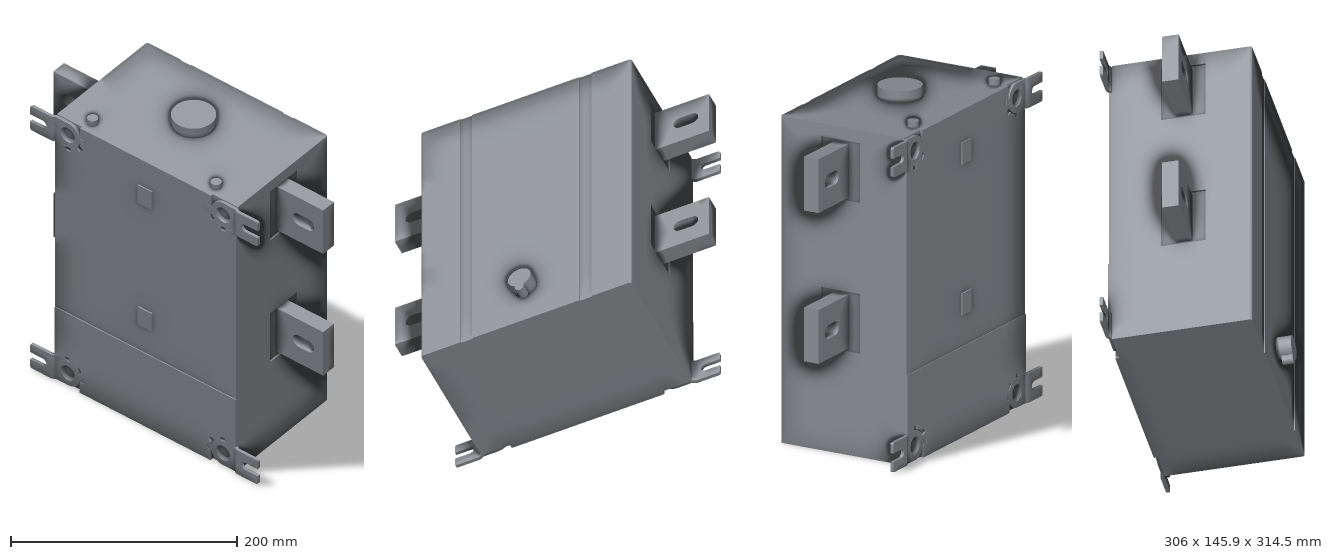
import cadquery as cq
import math

body_width = 205.0
body_height = 303.5
body_back = 62.0
body_front = -67.6
back_edge_radius = 2.5

cover_height = 84.0
cover_front = body_front - 1.0

label_width = 16.0
label_height = 20.5
label_front = body_front - 1.4

bar_span = 306.0
bar_thickness = 15.0
bar_height = 50.0
bar_levels = (123.6, 263.6)
bar_slot_length = 24.0
bar_slot_height = 13.0
bar_slot_x = 130.5

window_depth = 2.0
window_width = 40.0
window_height = 56.0

groove_width = 11.5
groove_depth = 0.8
groove_x = 58.0

button_diameter = 40.0
button_height = 11.0
pin_diameter = 10.0
pin_height = 6.3
pin_x = 70.0
pin_y = -55.3

knob_diameter = 22.0
knob_back = 75.9
knob_z = 42.2
tab_width = 8.0
tab_depth = 10.0
tab_drop = 6.0

bracket_x = 88.0
bracket_inset = 14.9
bracket_radius = 13.7
bracket_end_x = 129.0
bracket_thickness = 3.0
ear_front = -70.0
joggle = 2.0
joggle_end_x = 106.3
bend_inner_radius = 3.0
ear_corner_radius = 2.0
ear_slot_width = 8.0
ear_slot_depth = 18.3
dish_radius = 8.0
dish_floor_radius = 5.8
dish_depth = 3.0

pocket_radius = 14.4
notch_width = 5.5
notch_reach = 18.3
notch_angles = (0, -35, -90)

bracket_z = body_height - bracket_inset
seat_front = ear_front + joggle
seat_back = seat_front + bracket_thickness
ear_back = ear_front + bracket_thickness

bend_outer_radius = bend_inner_radius + bracket_thickness
bend_angle = math.acos(1 - joggle / (bend_inner_radius + bend_outer_radius))
joggle_start_x = joggle_end_x - (bend_inner_radius + bend_outer_radius) * math.sin(bend_angle)


def box(x_min, x_max, y_min, y_max, z_min, z_max):
    """Axis-aligned box given by its limits."""
    size = (x_max - x_min, y_max - y_min, z_max - z_min)
    return cq.Workplane("XY").box(*size, centered=False).translate((x_min, y_min, z_min))


def y_disc(radius, y_min, y_max, x, z):
    """Cylinder along Y."""
    disc = cq.Workplane("XZ").circle(radius).extrude(y_min - y_max)
    return disc.translate((x, y_min, z))


def make_enclosure():
    half = body_width / 2
    body = box(-half, half, body_front, body_back, 0, body_height)
    body = body.edges("|Z and >Y").fillet(back_edge_radius)
    body = body.union(box(-half, half, cover_front, body_front, 0, cover_height))
    for x in (-groove_x, groove_x):
        body = body.cut(box(x - groove_width / 2, x + groove_width / 2,
                            body_back - groove_depth, body_back, 0, body_height))
    return body


def add_labels(body):
    half = label_width / 2
    for z in bar_levels:
        body = body.union(box(-half, half, label_front, body_front,
                              z - label_height / 2, z + label_height / 2))
    return body


def cut_windows(body):
    outer = body_width / 2
    inner = outer - window_depth
    for z in bar_levels:
        for x_min, x_max in ((-outer, -inner), (inner, outer)):
            body = body.cut(box(x_min, x_max, -window_width / 2, window_width / 2,
                                z - window_height / 2, z + window_height / 2))
    return body


def make_bar(z):
    bar = cq.Workplane("XY").box(bar_span, bar_thickness, bar_height)
    slots = (
        cq.Workplane("XZ")
        .pushPoints([(-bar_slot_x, 0), (bar_slot_x, 0)])
        .slot2D(bar_slot_length, bar_slot_height)
        .extrude(bar_thickness, both=True)
    )
    return bar.cut(slots).translate((0, 0, z))


def make_top_controls():
    controls = cq.Workplane("XY").circle(button_diameter / 2).extrude(button_height)
    pins = cq.Workplane("XY").pushPoints([(-pin_x, pin_y), (pin_x, pin_y)])
    controls = controls.union(pins.circle(pin_diameter / 2).extrude(pin_height))
    return controls.translate((0, 0, body_height))


def make_knob():
    knob = y_disc(knob_diameter / 2, body_back, knob_back, 0, knob_z)
    tab_front = knob_back - tab_depth
    tab_end_z = knob_z - knob_diameter / 2 - tab_drop + tab_width / 2
    tab = box(-tab_width / 2, tab_width / 2, tab_front, knob_back, tab_end_z, knob_z)
    tab_end = y_disc(tab_width / 2, tab_front, knob_back, 0, tab_end_z)
    return knob.union(tab).union(tab_end)


def make_key(front):
    """Radial key along +X, from the given front plane back to the pocket floor."""
    return box(0, notch_reach, front, seat_back, -notch_width / 2, notch_width / 2)


def make_pocket():
    """Volume removed from the front face around one bracket."""
    pocket = y_disc(pocket_radius, cover_front, seat_back, -bracket_x, bracket_z)
    side = -body_width / 2
    pocket = pocket.union(box(side, -bracket_x + bracket_radius, cover_front, seat_back,
                              bracket_z, body_height))
    pocket = pocket.union(box(side, -bracket_x, cover_front, seat_back,
                              bracket_z - pocket_radius, bracket_z))
    for angle in notch_angles:
        notch = make_key(cover_front).rotate((0, 0, 0), (0, 1, 0), -angle)
        pocket = pocket.union(notch.translate((-bracket_x, 0, bracket_z)))
    return pocket


def make_bracket():
    """Joggled strip with a rounded, keyed seat end and a slotted ear."""
    tip_x = -bracket_x + bracket_radius
    half_angle_sin = math.sin(bend_angle / 2)
    half_angle_drop = 1 - math.cos(bend_angle / 2)
    full_sin = math.sin(bend_angle)
    full_drop = 1 - math.cos(bend_angle)
    inner = bend_inner_radius
    outer = bend_outer_radius
    ear_x = -joggle_end_x
    seat_x = -joggle_start_x
    strip = (
        cq.Workplane("XY")
        .moveTo(-bracket_end_x, ear_front)
        .lineTo(ear_x, ear_front)
        .threePointArc((ear_x + outer * half_angle_sin, ear_front + outer * half_angle_drop),
                       (ear_x + outer * full_sin, ear_front + outer * full_drop))
        .threePointArc((seat_x - inner * half_angle_sin, seat_front - inner * half_angle_drop),
                       (seat_x, seat_front))
        .lineTo(tip_x, seat_front)
        .lineTo(tip_x, seat_back)
        .lineTo(seat_x, seat_back)
        .threePointArc((seat_x - outer * half_angle_sin, seat_back - outer * half_angle_drop),
                       (seat_x - outer * full_sin, seat_back - outer * full_drop))
        .threePointArc((ear_x + inner * half_angle_sin, ear_back + inner * half_angle_drop),
                       (ear_x, ear_back))
        .lineTo(-bracket_end_x, ear_back)
        .close()
        .extrude(bracket_radius, both=True)
    )
    strip = strip.edges("|Y and <X").fillet(ear_corner_radius)
    square_end = box(-bracket_x, tip_x, seat_front, seat_back, -bracket_radius, bracket_radius)
    round_end = y_disc(bracket_radius, seat_front, seat_back, -bracket_x, 0)
    key = make_key(seat_front).translate((-bracket_x, 0, 0))
    strip = strip.cut(square_end).union(round_end).union(key)
    slot = (
        cq.Workplane("XZ", origin=(-bracket_end_x, ear_back, 0))
        .slot2D(2 * ear_slot_depth, ear_slot_width)
        .extrude(bracket_thickness)
    )
    return strip.cut(slot).translate((0, 0, bracket_z))


def make_dish():
    """Tapered blind recess in the middle of the bracket seat."""
    return (
        cq.Workplane("XZ", origin=(-bracket_x, seat_front, bracket_z))
        .circle(dish_radius)
        .workplane(offset=-dish_depth)
        .circle(dish_floor_radius)
        .loft()
    )


def at_corners(shape):
    """The shape at the upper left corner and its three mirror images."""
    mid_height = (0, 0, body_height / 2)
    right = shape.mirror("YZ")
    upper = [shape, right]
    return upper + [corner.mirror("XY", mid_height) for corner in upper]


result = cut_windows(add_labels(make_enclosure()))
for level in bar_levels:
    result = result.union(make_bar(level))
result = result.union(make_top_controls()).union(make_knob())
for corner_pocket in at_corners(make_pocket()):
    result = result.cut(corner_pocket)
for corner_bracket in at_corners(make_bracket()):
    result = result.union(corner_bracket)
for corner_dish in at_corners(make_dish()):
    result = result.cut(corner_dish)